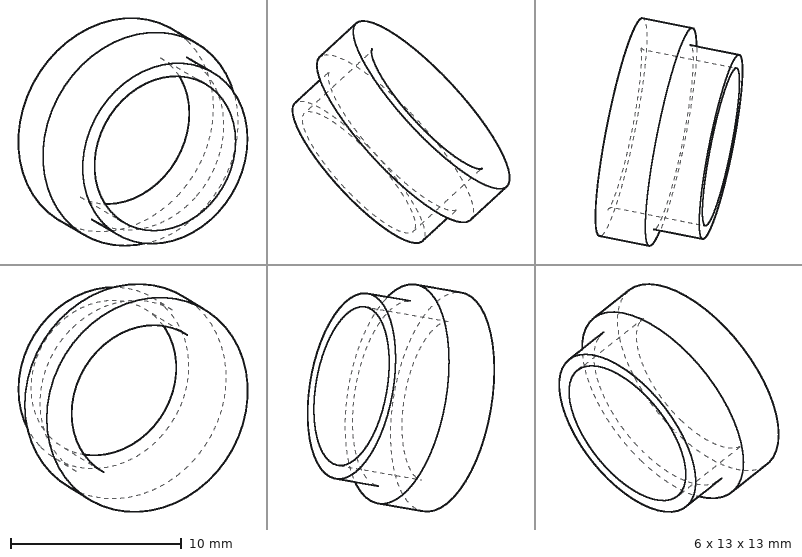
import cadquery as cq

flange_diameter = 13.0
sleeve_diameter = 11.0
bore_diameter = 9.4
total_length = 6.0
flange_length = total_length / 2
bore_entry_radius = 0.5
corner_fillet_radius = 0.1


def cylinder_along_x(diameter, length):
    """Solid cylinder starting at the flange face, X = 0."""
    return cq.Workplane("YZ").circle(diameter / 2).extrude(length)


flange = cylinder_along_x(flange_diameter, flange_length)
sleeve = cylinder_along_x(sleeve_diameter, total_length)
body = flange.union(sleeve)
shoulder_corner = cq.selectors.RadiusNthSelector(0)
body = body.faces(cq.selectors.NearestToPointSelector(
    (flange_length, (flange_diameter + sleeve_diameter) / 4, 0)
)).edges(shoulder_corner).fillet(corner_fillet_radius)

bushing = body.cut(cylinder_along_x(bore_diameter, total_length))
bore_entry = cq.selectors.RadiusNthSelector(0)
result = bushing.faces("<X").edges(bore_entry).fillet(bore_entry_radius)